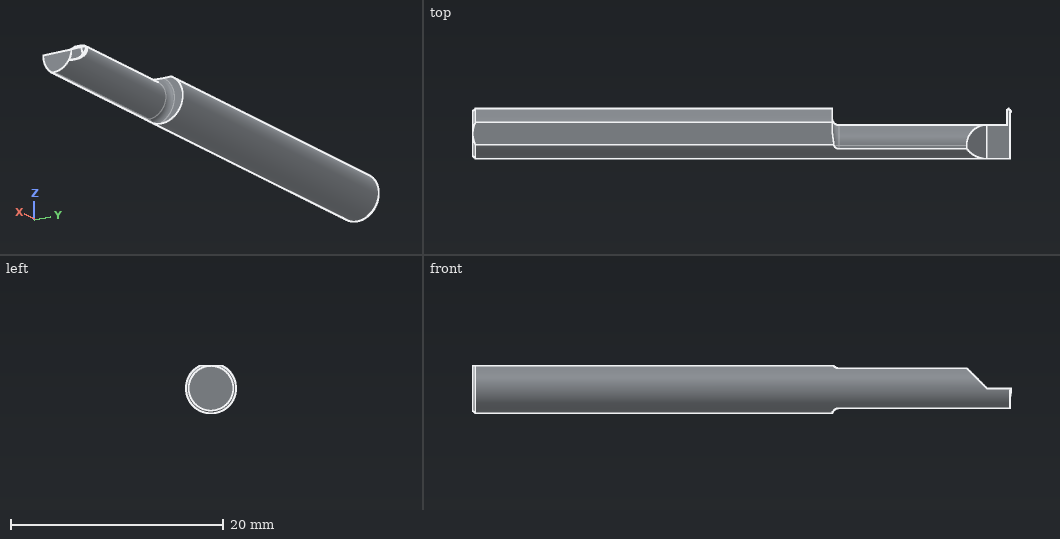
import cadquery as cq
import math

SHANK_DIAMETER = 4.75
SHANK_RADIUS = SHANK_DIAMETER / 2
SHANK_LENGTH = 33.92
HEIGHT_OVER_FLAT = 4.5
FLAT_HEIGHT = HEIGHT_OVER_FLAT - SHANK_RADIUS
REAR_CHAMFER = 0.27

OVERALL_LENGTH = 50.8
NECK_HALF_HEIGHT = 1.9
NECK_ARC_CENTER_Y = -1.08
ROOT_FILLET = 0.58
TIP_OVERHANG = 0.12
NECK_END = OVERALL_LENGTH - TIP_OVERHANG

RAKE_Z = 0.0
RAKE_LENGTH = 2.2
RAKE_START = NECK_END - RAKE_LENGTH

TOOTH_WIDTH = 0.3
TOOTH_REACH = SHANK_RADIUS
TOOTH_CORNER = 0.15
TIP_POINT_DROP = 0.3
TOOTH_BACK = NECK_END - TOOTH_WIDTH
TOOTH_SIDE_RELIEF = 4.0
TOOTH_CLEARANCE_RADIUS = 1.0

CLEAR = SHANK_DIAMETER
BLOCK_SIZE = 4 * CLEAR


def make_bar():
    """Round bar over the whole length, chamfered at the rear, with the flat cut along it."""
    bar = cq.Workplane("YZ").circle(SHANK_RADIUS).extrude(NECK_END)
    bar = bar.faces("<X").chamfer(REAR_CHAMFER)
    above_flat = (
        cq.Workplane("XY", origin=(0, 0, FLAT_HEIGHT))
        .rect(2 * OVERALL_LENGTH, 2 * CLEAR)
        .extrude(CLEAR)
    )
    return bar.cut(above_flat)


def make_neck_envelope():
    """Block around the shank joined to the neck section by a filleted root."""
    block = cq.Workplane("YZ").rect(BLOCK_SIZE, BLOCK_SIZE).extrude(SHANK_LENGTH)
    neck = (
        cq.Workplane("YZ", origin=(SHANK_LENGTH, 0, 0))
        .moveTo(-CLEAR, -NECK_HALF_HEIGHT)
        .lineTo(NECK_ARC_CENTER_Y, -NECK_HALF_HEIGHT)
        .threePointArc(
            (NECK_ARC_CENTER_Y + NECK_HALF_HEIGHT, 0),
            (NECK_ARC_CENTER_Y, NECK_HALF_HEIGHT),
        )
        .lineTo(-CLEAR, NECK_HALF_HEIGHT)
        .close()
        .extrude(NECK_END - SHANK_LENGTH)
    )
    root = cq.selectors.BoxSelector(
        (SHANK_LENGTH - ROOT_FILLET, -CLEAR, -CLEAR),
        (SHANK_LENGTH + ROOT_FILLET, CLEAR, CLEAR),
    )
    return block.union(neck).edges(root).fillet(ROOT_FILLET)


def make_rake_cut():
    """Material above the rake face, bounded at the rear by a 45 degree slope."""
    return (
        cq.Workplane("XZ")
        .moveTo(RAKE_START, RAKE_Z)
        .lineTo(OVERALL_LENGTH + CLEAR, RAKE_Z)
        .lineTo(OVERALL_LENGTH + CLEAR, RAKE_Z + CLEAR)
        .lineTo(RAKE_START - CLEAR, RAKE_Z + CLEAR)
        .close()
        .extrude(CLEAR, both=True)
    )


def make_tooth():
    """Blade below the rake face, with side relief and a rounded clearance under the tip."""
    crest_x = TOOTH_BACK + TOOTH_CORNER
    point_y = TOOTH_REACH - TIP_POINT_DROP
    blade = (
        cq.Workplane("XY", origin=(0, 0, RAKE_Z))
        .moveTo(TOOTH_BACK, NECK_ARC_CENTER_Y)
        .lineTo(TOOTH_BACK, TOOTH_REACH - TOOTH_CORNER)
        .lineTo(crest_x, TOOTH_REACH)
        .lineTo(OVERALL_LENGTH, point_y)
        .lineTo(NECK_END, point_y - TIP_OVERHANG)
        .lineTo(NECK_END, NECK_ARC_CENTER_Y)
        .close()
        .extrude(-TOOTH_CLEARANCE_RADIUS, taper=TOOTH_SIDE_RELIEF)
    )
    clearance_y = TOOTH_REACH - TOOTH_CLEARANCE_RADIUS
    arc_offset = TOOTH_CLEARANCE_RADIUS * math.cos(math.pi / 4)
    envelope = (
        cq.Workplane("YZ", origin=(TOOTH_BACK, 0, RAKE_Z))
        .moveTo(NECK_ARC_CENTER_Y, 0)
        .lineTo(TOOTH_REACH, 0)
        .threePointArc(
            (clearance_y + arc_offset, -arc_offset),
            (clearance_y, -TOOTH_CLEARANCE_RADIUS),
        )
        .lineTo(NECK_ARC_CENTER_Y, -TOOTH_CLEARANCE_RADIUS)
        .close()
        .extrude(OVERALL_LENGTH - TOOTH_BACK)
    )
    return blade.intersect(envelope)


holder = make_bar().intersect(make_neck_envelope()).cut(make_rake_cut())
result = holder.union(make_tooth())